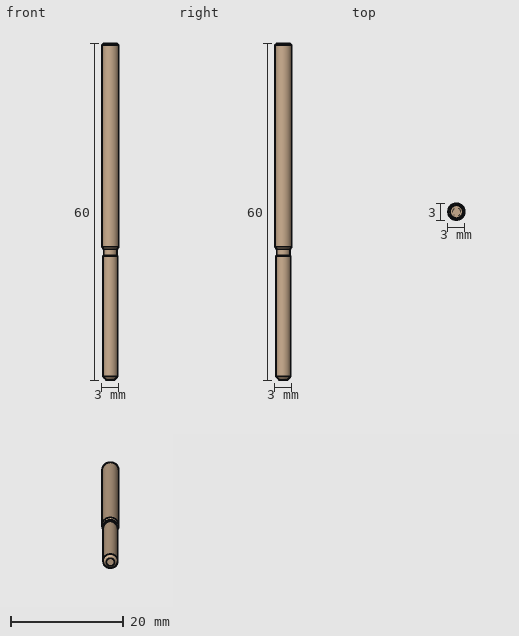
import cadquery as cq

length = 60.0
shank_diameter = 3.0
pin_diameter = 2.65
neck_diameter = 2.4
tip_diameter = 1.45
shank_bottom = 23.75
neck_top = 23.3
pin_top = 22.2
top_chamfer = 0.35
shoulder_height = 0.2
tip_height = 0.65


def revolve_profile(points):
    """Revolve a radius-height outline around the Z axis."""
    return cq.Workplane("XZ").polyline(points).close().revolve(360, (0, 0, 0), (0, 1, 0))


def make_shank():
    """Round shank, chamfered at its top, tapering below to a neck that stands on the pin."""
    radius = shank_diameter / 2
    neck_radius = neck_diameter / 2
    return revolve_profile([
        (0, pin_top),
        (neck_radius, pin_top),
        (neck_radius, neck_top),
        (radius, shank_bottom),
        (radius, length - top_chamfer),
        (radius - top_chamfer, length),
        (0, length),
    ])


def make_pin():
    """Slimmer pin with a conical tip and a bevelled shoulder that ends at the neck."""
    radius = pin_diameter / 2
    return revolve_profile([
        (0, 0),
        (tip_diameter / 2, 0),
        (radius, tip_height),
        (radius, pin_top - shoulder_height),
        (neck_diameter / 2, pin_top),
        (0, pin_top),
    ])


shank = make_shank()
pin = make_pin()
result = cq.Compound.makeCompound([shank.val(), pin.val()])